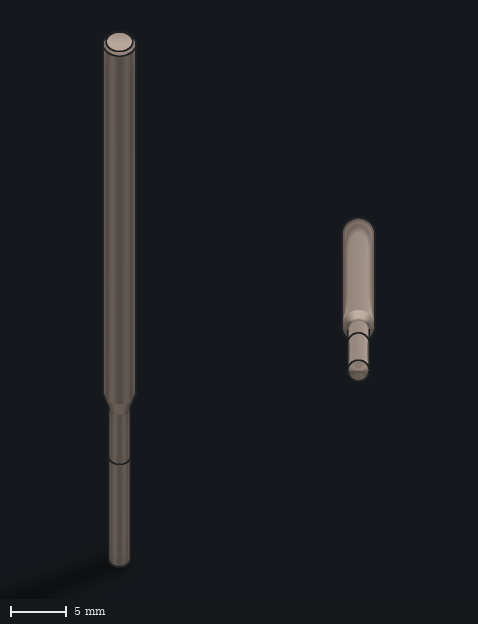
import cadquery as cq
import math

overall_length = 68.35
shank_diameter = 3.0
drill_diameter = 1.94
tip_angle = 140.0
cutting_length = 13.85
shank_length = 46.0
taper_half_angle = 15.0
end_chamfer = 0.3

shank_radius = shank_diameter / 2
drill_radius = drill_diameter / 2
tip_height = drill_radius / math.tan(math.radians(tip_angle / 2))
taper_length = (shank_radius - drill_radius) / math.tan(math.radians(taper_half_angle))
shank_bottom = overall_length - shank_length
neck_top = shank_bottom - taper_length


def revolved(profile):
    """Revolve a closed (radius, height) profile once around the Z axis."""
    points = [(-radius, height) for radius, height in profile]
    return cq.Workplane("YZ").polyline(points).close().revolve(360, (0, 0), (0, 1))


cutting_part = revolved([
    (0, 0),
    (drill_radius, tip_height),
    (drill_radius, cutting_length),
    (0, cutting_length),
])

holder = revolved([
    (0, cutting_length),
    (drill_radius, cutting_length),
    (drill_radius, neck_top),
    (shank_radius, shank_bottom),
    (shank_radius, overall_length - end_chamfer),
    (shank_radius - end_chamfer, overall_length),
    (0, overall_length),
])

result = cq.Compound.makeCompound([cutting_part.val(), holder.val()])